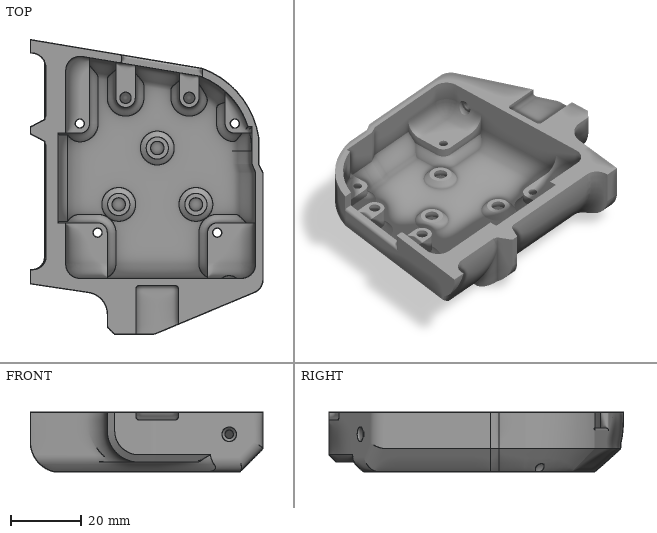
import cadquery as cq
import math

LENGTH_X = 66.0
LENGTH_Y = 83.67
HEIGHT = 17.0
FAR = 120.0
CLEARANCE = 1.0
BEVEL_ANGLE = 45
ROUNDING_MARGIN = 0.01

BACK_SLOPE = math.radians(9.5)
FRONT_SLOPE = math.radians(8.5)
FRONT_LEFT_Y = 14.35
UPPER_RIGHT_X = 64.8
STEP_FRONT_Y = 45.9
STEP_BACK_Y = 48.3
CORNER_RADIUS = 25.0
CORNER_X = 40.1
CORNER_Y = 52.05
FRONT_RIGHT_RADIUS = 4.0

TAB_LEFT_X = 21.8
TAB_BOTTOM_Z = 2.8
TAB_CORNER_RADIUS = 8.9
TAB_CHAMFER = 2.1
TAB_TIP_X = 35.05
TAB_TIP_RADIUS = 4.0
DIAGONAL_SLOPE = math.atan2(12.2, 29.2)
BLEND_RADIUS = 6.2

BACK_BEVEL = 6.6
FRONT_BEVEL = 3.2
FRONT_BEVEL_ROUND = 3.6

GRIP_DEPTH = 4.0
GRIP_RADIUS = 18.5
GRIP_Z = 13.0
GRIP_FILLET = 3.7
FRONT_HORN_Y = 18.4
BACK_HORN_Y = 79.8
BACK_HORN_TILT = 0.45
RIB_Y = 57.9
RIB_TIP = (0.0, 1.0)
RIB_NECK = (4.0, 3.1)
RIB_FLARE_MID = (5.2, 5.5)
RIB_ROOT = (8.0, 7.2)
LEFT_EDGE_Z = 7.5
LEFT_EDGE_MID = (2.45, 2.45)
LEFT_EDGE_X = 6.9
UNDERCUT_TOP_Z = 16.4
UNDERCUT_BOTTOM_Z = 8.3

FLOOR_Z = 2.0
CAVITY_LEFT_X = 10.0
CAVITY_FRONT_Y = 15.9
CAVITY_RADIUS = 4.1
RIGHT_WALL = 2.1
UPPER_RIGHT_WALL = 1.9
CAVITY_RIGHT_X = LENGTH_X - RIGHT_WALL
CAVITY_UPPER_RIGHT_X = UPPER_RIGHT_X - UPPER_RIGHT_WALL
BACK_WALL = 2.3
CORNER_WALL_END_Y = 59.0
CAVITY_RIGHT_BEVEL = 5.1
CAVITY_REAR_BEVEL = 4.6
CAVITY_BEVEL_ROUND = 2.0
LEDGE_X = 7.75
LEDGE_Z = 4.0
LEDGE_FRONT_Y = 31.7
LEDGE_BACK_Y = 57.2
LEDGE_FILLET = 0.6

CORNER_POST_Z = 7.0
BACK_POST_Z = 10.0
POST_RADIUS = 2.75
SKIRT = 2.45
POST_WALL_FILLET = 0.9
BACK_POST_Y = 67.15
BACK_POST_XS = (27.0, 45.05)
BACK_POST_HOLE = 3.2
BACK_POST_HOLE_DEPTH = 6.0
REAR_SCREW_Y = 59.85
REAR_SCREW_XS = (14.0, 58.0)
FRONT_SCREW_Y = 28.9
FRONT_SCREW_XS = (19.05, 53.0)
SCREW_HOLE = 2.5
BOSSES = ((36.0, 52.9), (25.05, 36.9), (46.95, 36.9))
BOSS_BASE = 9.6
BOSS_TOP = 6.3
BOSS_HOLE = 3.8
BOSS_HOLE_DEPTH = 1.8

RECESS_LEFT_X = 29.9
RECESS_RIGHT_X = 42.0
RECESS_BACK_Y = 13.95
RECESS_DEPTH = 2.3
RECESS_FILLET = 1.1
OPENING_LEFT_X = 25.9
OPENING_RIGHT_X = 48.8
OPENING_Z = 12.5
OPENING_ROUND = 0.8
OPENING_END_ROUND = 0.6
SIDE_HOLE_X = 56.4
SIDE_HOLE_Z = 10.7
SIDE_HOLE = 2.4
SIDE_BORE = 4.1
SIDE_BORE_STRAIGHT = 1.0
SIDE_BORE_DEPTH = 3.0


def front_left_y(x):
    return FRONT_LEFT_Y - x * math.tan(FRONT_SLOPE)


def diagonal_y(x):
    return (x - TAB_TIP_X) * math.tan(DIAGONAL_SLOPE)


def corner_point(radius, angle):
    return (CORNER_X + radius * math.cos(angle), CORNER_Y + radius * math.sin(angle))


def back_y(x, inset=0.0):
    return LENGTH_Y - x * math.tan(BACK_SLOPE) - inset / math.cos(BACK_SLOPE)


def corner_end_angle(inset):
    """Angle at which the large corner meets the back line, both moved inwards by inset."""
    line_distance = (back_y(CORNER_X, inset) - CORNER_Y) * math.cos(BACK_SLOPE)
    return math.pi / 2 - BACK_SLOPE - math.acos(line_distance / (CORNER_RADIUS - inset))


def block(x0, x1, y0, y1, z0, z1):
    return cq.Workplane("XY").box(x1 - x0, y1 - y0, z1 - z0, centered=False).translate((x0, y0, z0))


def prism_xz(outline, y0, y1):
    """Extrude an outline drawn in X and Z from y0 to y1."""
    return outline.close().extrude(y0 - y1).translate((0, y0, 0))


def bevel_profile(plane, bevel, upper_round, floor_round=0.0):
    """Material lost along a bottom edge; local x runs into the part, local y is height above its base."""
    half_turn = math.radians(BEVEL_ANGLE) / 2
    upper = upper_round * math.tan(half_turn)
    floor = floor_round * math.tan(half_turn)
    diagonal = math.sin(math.radians(BEVEL_ANGLE))
    arc_in = math.sin(half_turn)
    arc_drop = 1 - math.cos(half_turn)
    profile = cq.Workplane(plane).moveTo(-FAR, 0).lineTo(-FAR, bevel + upper).lineTo(0, bevel + upper)
    if upper_round:
        mid = (upper_round * arc_drop, bevel + upper - upper_round * arc_in)
        profile = profile.threePointArc(mid, (upper * diagonal, bevel - upper * diagonal))
    if floor_round:
        profile = profile.lineTo(bevel - floor * diagonal, floor * diagonal)
        mid = (bevel + floor - floor_round * arc_in, floor_round * arc_drop)
        profile = profile.threePointArc(mid, (bevel + floor, 0))
    else:
        profile = profile.lineTo(bevel, 0)
    return profile.close()


def straight_bevel(start, direction, length, base_z, *sizes):
    """Bevel cutter along a straight wall with the part on the left of the direction."""
    inward = (-math.sin(direction), math.cos(direction), 0)
    along = (math.cos(direction), math.sin(direction), 0)
    plane = cq.Plane(origin=(start[0], start[1], base_z), xDir=inward, normal=along)
    return bevel_profile(plane, *sizes).extrude(length)


def corner_bevel(radius, base_z, *sizes):
    """Bevel cutter around the large back right corner."""
    plane = cq.Plane(origin=(CORNER_X + radius, CORNER_Y, base_z), xDir=(-1, 0, 0), normal=(0, 1, 0))
    sweep = 90 - math.degrees(BACK_SLOPE)
    return bevel_profile(plane, *sizes).revolve(sweep, (radius, 0), (radius, CLEARANCE))


def rear_bevels(right_x, upper_right_x, back_inset, base_z, right_bevel, rear_bevel, floor_round):
    """Bevel cutters along the stepped right side, the large corner and the back."""
    sizes = (base_z, rear_bevel, 0, floor_round)
    right = straight_bevel((right_x, 0), math.pi / 2, STEP_FRONT_Y, base_z, right_bevel, 0, floor_round)
    upper_right = straight_bevel((upper_right_x, STEP_BACK_Y), math.pi / 2, FAR, *sizes)
    step = cq.Solid.makeLoft(
        [right.faces(">Y").wires().val(), upper_right.faces("<Y").wires().val()], True
    )
    back_start = (FAR, back_y(FAR, back_inset))
    back = straight_bevel(back_start, math.pi - BACK_SLOPE, 2 * FAR, *sizes)
    return [right, step, upper_right, corner_bevel(CORNER_RADIUS - back_inset, *sizes), back]


def rear_outline(workplane, right_x, upper_right_x, back_inset, corner_start_y, end_x):
    """Continue an outline up the right side, around the corner and along the back to end_x."""
    radius = CORNER_RADIUS - back_inset
    start_angle = math.asin((corner_start_y - CORNER_Y) / radius)
    end_angle = corner_end_angle(back_inset)
    start = corner_point(radius, start_angle)
    workplane = workplane.lineTo(right_x, STEP_FRONT_Y).lineTo(upper_right_x, STEP_BACK_Y)
    workplane = workplane.lineTo(upper_right_x, corner_start_y)
    if not math.isclose(start[0], upper_right_x):
        workplane = workplane.lineTo(*start)
    mid = corner_point(radius, (start_angle + end_angle) / 2)
    workplane = workplane.threePointArc(mid, corner_point(radius, end_angle))
    return workplane.lineTo(end_x, back_y(end_x, back_inset)).close()


def main_block():
    """Block without the tab, with its bottom edges bevelled."""
    front_x = (FRONT_LEFT_Y - diagonal_y(0)) / (math.tan(FRONT_SLOPE) + math.tan(DIAGONAL_SLOPE))
    outline = (
        cq.Workplane("XY")
        .moveTo(0, FRONT_LEFT_Y)
        .lineTo(front_x, diagonal_y(front_x))
        .lineTo(LENGTH_X, diagonal_y(LENGTH_X))
    )
    corner_start_y = CORNER_Y + math.sqrt(CORNER_RADIUS**2 - (UPPER_RIGHT_X - CORNER_X) ** 2)
    body = rear_outline(outline, LENGTH_X, UPPER_RIGHT_X, 0, corner_start_y, 0).extrude(HEIGHT)
    for cutter in rear_bevels(LENGTH_X, UPPER_RIGHT_X, 0, 0, BACK_BEVEL, BACK_BEVEL, 0):
        body = body.cut(cutter)
    bevel_x = LENGTH_X - BACK_BEVEL
    slope_x = LENGTH_X - BACK_BEVEL / 2
    middle_x = (front_x + bevel_x) / 2
    edge_points = [
        (LENGTH_X, diagonal_y(LENGTH_X), (HEIGHT + BACK_BEVEL) / 2),
        (slope_x, diagonal_y(slope_x), BACK_BEVEL / 2),
        (middle_x, diagonal_y(middle_x), 0),
    ]
    edges = [body.edges(cq.selectors.NearestToPointSelector(point)).val() for point in edge_points]
    body = body.newObject(edges).fillet(FRONT_RIGHT_RADIUS)
    front_start = (-FAR / 2, front_left_y(-FAR / 2))
    front = straight_bevel(front_start, -FRONT_SLOPE, 2 * FAR, 0, FRONT_BEVEL, FRONT_BEVEL_ROUND)
    return body.cut(front)


def front_tab():
    """Tab standing out of the front, with a rounded lower left edge and chamfered front edges."""
    back = CAVITY_FRONT_Y - CLEARANCE
    back_x = TAB_TIP_X + back / math.tan(DIAGONAL_SLOPE)
    tab = (
        cq.Workplane("XY")
        .workplane(offset=TAB_BOTTOM_Z)
        .moveTo(TAB_LEFT_X, 0)
        .lineTo(TAB_TIP_X, 0)
        .lineTo(back_x, back)
        .lineTo(TAB_LEFT_X, back)
        .close()
        .extrude(HEIGHT - TAB_BOTTOM_Z)
    )
    tab = tab.edges("|Y and <X and <Z").fillet(TAB_CORNER_RADIUS)
    tab = tab.edges(cq.selectors.NearestToPointSelector((TAB_TIP_X, 0, HEIGHT / 2))).fillet(TAB_TIP_RADIUS)
    tab = tab.edges(cq.selectors.NearestToPointSelector((TAB_LEFT_X, 0, HEIGHT))).chamfer(TAB_CHAMFER)
    limit_points = [
        (0, 0),
        (LENGTH_X, 0),
        (LENGTH_X, front_left_y(LENGTH_X)),
        (0, FRONT_LEFT_Y + CLEARANCE),
    ]
    limit = cq.Workplane("XY").polyline(limit_points).close().extrude(HEIGHT)
    return tab.intersect(limit)


def tab_blend():
    """Hollow blend between the front left wall and the left side of the tab."""
    centre_x = TAB_LEFT_X - BLEND_RADIUS
    wall_x = centre_x + BLEND_RADIUS * math.sin(FRONT_SLOPE)
    wall_y = front_left_y(wall_x)
    centre_y = wall_y - BLEND_RADIUS * math.cos(FRONT_SLOPE)
    mid_angle = (math.pi / 2 - FRONT_SLOPE) / 2
    mid = (centre_x + BLEND_RADIUS * math.cos(mid_angle), centre_y + BLEND_RADIUS * math.sin(mid_angle))
    turn_z = TAB_BOTTOM_Z + TAB_CORNER_RADIUS
    section = (
        cq.Workplane("XY")
        .workplane(offset=turn_z)
        .moveTo(TAB_LEFT_X + CLEARANCE, centre_y)
        .lineTo(TAB_LEFT_X, centre_y)
        .threePointArc(mid, (wall_x, wall_y))
        .lineTo(wall_x, FRONT_LEFT_Y)
        .lineTo(TAB_LEFT_X + CLEARANCE, FRONT_LEFT_Y)
        .close()
    )
    turn_x = TAB_LEFT_X + TAB_CORNER_RADIUS
    face = cq.Face.makeFromWires(section.val())
    upper = cq.Workplane(cq.Solid.extrudeLinear(face, cq.Vector(0, 0, HEIGHT - turn_z)))
    axis_start = cq.Vector(turn_x, 0, turn_z)
    lower = cq.Workplane(cq.Solid.revolve(face, 90, axis_start, axis_start + cq.Vector(0, -CLEARANCE, 0)))
    above_bottom = block(0, LENGTH_X, 0, LENGTH_Y, TAB_BOTTOM_Z, HEIGHT)
    return upper.union(lower.intersect(above_bottom))


def grip_x(z):
    """Position of the bulging wall of the finger hollows at height z."""
    return GRIP_DEPTH + GRIP_RADIUS - math.sqrt(GRIP_RADIUS**2 - (GRIP_Z - z) ** 2)


def grip_cutter(y0, y1):
    """Finger hollow in the left side; its wall bulges outwards at mid height."""
    top = GRIP_Z * 2
    profile = (
        cq.Workplane("XZ")
        .moveTo(-CLEARANCE, 0)
        .lineTo(grip_x(0), 0)
        .threePointArc((GRIP_DEPTH, GRIP_Z), (grip_x(top), top))
        .lineTo(-CLEARANCE, top)
    )
    return prism_xz(profile, y0, y1)


def rib_plan():
    """Flared rib between the two finger hollows."""
    half = (
        cq.Workplane("XY")
        .moveTo(-CLEARANCE, 0)
        .lineTo(-CLEARANCE, RIB_TIP[1])
        .lineTo(*RIB_TIP)
        .lineTo(*RIB_NECK)
        .threePointArc(RIB_FLARE_MID, RIB_ROOT)
        .lineTo(CAVITY_LEFT_X, RIB_ROOT[1])
        .lineTo(CAVITY_LEFT_X, 0)
        .close()
        .extrude(2 * GRIP_Z)
    )
    return half.union(half.mirror("XZ")).translate((0, RIB_Y, 0))


def finger_hollows():
    rib = rib_plan()
    front = grip_cutter(FRONT_HORN_Y, RIB_Y)
    front = front.faces("<Y").edges("%CIRCLE").fillet(GRIP_FILLET).cut(rib)
    back = grip_cutter(RIB_Y, FAR)
    horn_plan = cq.Workplane("YZ").moveTo(BACK_HORN_Y, HEIGHT).lineTo(RIB_Y, HEIGHT).lineTo(RIB_Y, 0)
    horn_plan = horn_plan.lineTo(BACK_HORN_Y + HEIGHT * BACK_HORN_TILT, 0).close()
    back = back.intersect(horn_plan.extrude(FAR))
    back = back.faces(">Y").edges("%ELLIPSE").fillet(GRIP_FILLET).cut(rib)
    return [front, back]


def left_edge_cutter():
    """Rounded lower left edge of the horns and the rib."""
    profile = cq.Workplane("XZ").moveTo(0, LEFT_EDGE_Z).threePointArc(LEFT_EDGE_MID, (LEFT_EDGE_X, 0))
    profile = profile.lineTo(LEFT_EDGE_X, -CLEARANCE).lineTo(-CLEARANCE, -CLEARANCE)
    profile = profile.lineTo(-CLEARANCE, LEFT_EDGE_Z)
    return prism_xz(profile, 0, LENGTH_Y)


def horn_undercut():
    """Curved underside of the back horn, running down into the finger hollow."""
    mid_z = UNDERCUT_BOTTOM_Z / 2
    profile = cq.Workplane("XZ").moveTo(-CLEARANCE, HEIGHT).lineTo(0, HEIGHT).lineTo(0, UNDERCUT_TOP_Z)
    profile = profile.tangentArcPoint((grip_x(UNDERCUT_BOTTOM_Z), UNDERCUT_BOTTOM_Z), relative=False)
    profile = profile.threePointArc((grip_x(mid_z), mid_z), (grip_x(0), 0)).lineTo(-CLEARANCE, 0)
    return prism_xz(profile, BACK_HORN_Y - GRIP_FILLET, LENGTH_Y + CLEARANCE)


def cavity_outline(base_z):
    outline = cq.Workplane("XY").workplane(offset=base_z).moveTo(CAVITY_LEFT_X, CAVITY_FRONT_Y)
    outline = outline.lineTo(CAVITY_RIGHT_X, CAVITY_FRONT_Y)
    walls = (CAVITY_RIGHT_X, CAVITY_UPPER_RIGHT_X, BACK_WALL)
    prism = rear_outline(outline, *walls, CORNER_WALL_END_Y, CAVITY_LEFT_X).extrude(FAR)
    corners = prism.edges("|Z").edges("<X or <Y")
    return corners.fillet(CAVITY_RADIUS)


def trough(right_x, base_z):
    """Box-shaped space above base_z with coved left and front edges."""
    space = block(CAVITY_LEFT_X, right_x, CAVITY_FRONT_Y, FAR, base_z, FAR)
    return space.edges("|Z").fillet(CAVITY_RADIUS + ROUNDING_MARGIN).faces("<Z").edges().fillet(CAVITY_RADIUS)


def deep_cavity():
    cavity = cavity_outline(FLOOR_Z).intersect(trough(FAR, FLOOR_Z))
    walls = (CAVITY_RIGHT_X, CAVITY_UPPER_RIGHT_X, BACK_WALL)
    sizes = (CAVITY_RIGHT_BEVEL, CAVITY_REAR_BEVEL, CAVITY_BEVEL_ROUND)
    for bevel in rear_bevels(*walls, FLOOR_Z, *sizes):
        cavity = cavity.cut(bevel)
    ledge = block(LEDGE_X, CAVITY_LEFT_X + CLEARANCE, LEDGE_FRONT_Y, LEDGE_BACK_Y, LEDGE_Z, FAR)
    ledge = ledge.edges("<X and <Z").fillet(LEDGE_FILLET)
    return cavity.union(ledge)


def post(outline_points, rounded_edges, top_space):
    """Post with a bevelled skirt, reaching from the floor to the space above it."""
    outline = cq.Workplane("XY").polyline(outline_points).close()
    shaft = outline.extrude(HEIGHT).edges(rounded_edges).fillet(POST_RADIUS - ROUNDING_MARGIN)
    foot_wire = shaft.faces("<Z").wires().val().offset2D(SKIRT)[0]
    foot = cq.Workplane("XY").add(foot_wire).toPending().extrude(SKIRT, taper=BEVEL_ANGLE)
    return shaft.union(foot.translate((0, 0, FLOOR_Z))).cut(top_space)


def posts():
    reach = FRONT_SCREW_XS[0] - LEDGE_X + CLEARANCE
    low_front = trough(CAVITY_RIGHT_X, CORNER_POST_Z)
    low_rear = cavity_outline(CORNER_POST_Z).faces("<Z").edges().fillet(POST_WALL_FILLET)
    high_rear = cavity_outline(BACK_POST_Z).faces("<Z").edges().fillet(POST_WALL_FILLET)

    def rectangle(x0, x1, y0, y1):
        return [(x0, y0), (x1, y0), (x1, y1), (x0, y1)]

    left_x, right_x = FRONT_SCREW_XS
    y1 = FRONT_SCREW_Y + POST_RADIUS
    parts = [
        post(rectangle(left_x - reach, left_x + POST_RADIUS, 0, y1), "|Z and >X and >Y", low_front),
        post(rectangle(right_x - POST_RADIUS, right_x + reach, 0, y1), "|Z and <X and >Y", low_front),
    ]
    left_x, right_x = REAR_SCREW_XS
    y0 = REAR_SCREW_Y - POST_RADIUS
    parts += [
        post(rectangle(left_x - reach, left_x + POST_RADIUS, y0, LENGTH_Y), "|Z and >X and <Y", low_rear),
        post(rectangle(right_x - POST_RADIUS, right_x + reach, y0, LENGTH_Y), "|Z and <X and <Y", low_rear),
    ]
    y0 = BACK_POST_Y - POST_RADIUS
    for x in BACK_POST_XS:
        parts.append(post(rectangle(x - POST_RADIUS, x + POST_RADIUS, y0, LENGTH_Y), "|Z and <Y", high_rear))
    return parts


def boss():
    height = (BOSS_BASE - BOSS_TOP) / 2
    cone = cq.Workplane("XY").circle(BOSS_BASE / 2).extrude(height, taper=BEVEL_ANGLE)
    return cone.translate((0, 0, FLOOR_Z))


def bore(x, y, diameter, z0, z1):
    return cq.Workplane("XY").circle(diameter / 2).extrude(z1 - z0).translate((x, y, z0))


def tab_recess():
    floor_z = HEIGHT - RECESS_DEPTH
    recess = block(RECESS_LEFT_X, RECESS_RIGHT_X, -FAR, RECESS_BACK_Y, floor_z, HEIGHT + CLEARANCE)
    recess = recess.edges("|Z and >Y").fillet(RECESS_FILLET + ROUNDING_MARGIN)
    return recess.faces("<Z").edges("not <Y").fillet(RECESS_FILLET)


def back_opening():
    """Lowered stretch of the back wall rim."""
    inset = BACK_WALL + CLEARANCE
    outline = [
        (OPENING_LEFT_X, back_y(OPENING_LEFT_X, inset)),
        (OPENING_RIGHT_X, back_y(OPENING_RIGHT_X, inset)),
        (OPENING_RIGHT_X, LENGTH_Y),
        (OPENING_LEFT_X, LENGTH_Y),
    ]
    return cq.Workplane("XY").polyline(outline).close().extrude(HEIGHT).translate((0, 0, OPENING_Z))


def round_opening(body):
    """Round the outer edge of the lowered rim and the wall ends beside it."""
    middle_x = (OPENING_LEFT_X + OPENING_RIGHT_X) / 2
    outer = cq.selectors.NearestToPointSelector((middle_x, back_y(middle_x), OPENING_Z))
    body = body.edges(outer).fillet(OPENING_ROUND)
    end_z = (OPENING_Z + HEIGHT) / 2
    for inset in (0, BACK_WALL):
        corner = (OPENING_LEFT_X, back_y(OPENING_LEFT_X, inset), end_z)
        body = body.edges(cq.selectors.NearestToPointSelector(corner)).fillet(OPENING_END_ROUND)
    return body


def side_hole():
    """Hole through the diagonal wall into the cavity, parallel to Y and widened at both ends."""
    face_y = diagonal_y(SIDE_HOLE_X)
    points = [
        (0, face_y - SIDE_BORE / 2),
        (SIDE_BORE / 2, face_y - SIDE_BORE / 2),
        (SIDE_BORE / 2, face_y + SIDE_BORE_STRAIGHT),
        (SIDE_HOLE / 2, face_y + SIDE_BORE_DEPTH),
        (SIDE_HOLE / 2, CAVITY_FRONT_Y - CLEARANCE),
        (SIDE_BORE / 2, CAVITY_FRONT_Y - CLEARANCE),
        (SIDE_BORE / 2, CAVITY_FRONT_Y + CAVITY_RADIUS),
        (0, CAVITY_FRONT_Y + CAVITY_RADIUS),
    ]
    hole = cq.Workplane("XY").polyline(points).close().revolve(360, (0, 0), (0, 1))
    return hole.translate((SIDE_HOLE_X, 0, SIDE_HOLE_Z))


def build():
    body = main_block().union(front_tab()).union(tab_blend())
    for cutter in finger_hollows() + [left_edge_cutter(), horn_undercut()]:
        body = body.cut(cutter)
    cavity = deep_cavity()
    for part in posts():
        cavity = cavity.cut(part)
    for x, y in BOSSES:
        cavity = cavity.cut(boss().translate((x, y, 0)))
    body = body.cut(cavity).cut(tab_recess()).cut(back_opening()).cut(side_hole())
    body = round_opening(body)
    for x in REAR_SCREW_XS:
        body = body.cut(bore(x, REAR_SCREW_Y, SCREW_HOLE, 0, HEIGHT))
    for x in FRONT_SCREW_XS:
        body = body.cut(bore(x, FRONT_SCREW_Y, SCREW_HOLE, 0, HEIGHT))
    for x in BACK_POST_XS:
        body = body.cut(bore(x, BACK_POST_Y, BACK_POST_HOLE, BACK_POST_Z - BACK_POST_HOLE_DEPTH, HEIGHT))
    boss_z = FLOOR_Z + (BOSS_BASE - BOSS_TOP) / 2
    for x, y in BOSSES:
        body = body.cut(bore(x, y, BOSS_HOLE, boss_z - BOSS_HOLE_DEPTH, HEIGHT))
    return body


result = build()